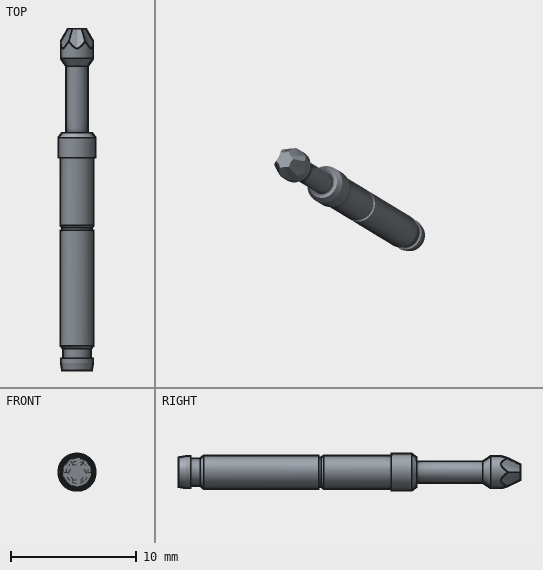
import cadquery as cq
import math

total_length = 27.3

plug_tip_radius = 1.2
plug_radius = 1.3
plug_taper_length = 0.6
plug_length = 1.0
neck_radius = 1.12
neck_end = 1.75

barrel_radius = 1.35
barrel_taper_length = 0.25
groove_start = 11.2
groove_radius = 1.2
groove_floor_end = 11.4
groove_end = 11.6

collar_radius = 1.5
collar_start = 17.0
collar_end = 19.0
collar_bevel_length = 0.4
collar_bevel_depth = 0.3

shaft_radius = 0.88
head_radius = 1.3
head_cone_start = 24.3
head_start = 24.92

flute_count = 6
flute_length = 1.6
tip_valley_radius = 0.57
flute_side_angle = 8.0
flute_slope = math.atan2(head_radius - tip_valley_radius, flute_length)


def body_profile():
    """Half outline of the turned part: radius along X, length along Y."""
    return (
        cq.Workplane("XY")
        .moveTo(0, 0)
        .lineTo(plug_tip_radius, 0)
        .lineTo(plug_radius, plug_taper_length)
        .lineTo(plug_radius, plug_length)
        .lineTo(neck_radius, plug_length)
        .lineTo(neck_radius, neck_end)
        .lineTo(barrel_radius, neck_end + barrel_taper_length)
        .lineTo(barrel_radius, groove_start)
        .lineTo(groove_radius, groove_start)
        .lineTo(groove_radius, groove_floor_end)
        .lineTo(barrel_radius, groove_end)
        .lineTo(barrel_radius, collar_start)
        .lineTo(collar_radius, collar_start)
        .lineTo(collar_radius, collar_end - collar_bevel_length)
        .lineTo(collar_radius - collar_bevel_depth, collar_end)
        .lineTo(shaft_radius, collar_end)
        .lineTo(shaft_radius, head_cone_start)
        .lineTo(head_radius, head_start)
        .lineTo(head_radius, total_length)
        .lineTo(0, total_length)
        .close()
    )


def flute_cutter():
    """V-floored bar whose valley line runs down the top of the head towards the tip."""
    half_width = 2 * head_radius
    side_rise = half_width * math.tan(math.radians(flute_side_angle))
    bar_top = side_rise + head_radius
    valley_plane = cq.Plane(
        origin=(0, total_length - flute_length, head_radius),
        xDir=(-1, 0, 0),
        normal=(0, math.cos(flute_slope), -math.sin(flute_slope)),
    )
    return (
        cq.Workplane(valley_plane)
        .moveTo(0, 0)
        .lineTo(half_width, side_rise)
        .lineTo(half_width, bar_top)
        .lineTo(-half_width, bar_top)
        .lineTo(-half_width, side_rise)
        .close()
        .extrude(2 * flute_length, both=True)
    )


def cut_flutes(body):
    """Cut the flutes evenly around the Y axis, one of them facing +Z."""
    for index in range(flute_count):
        angle = index * 360 / flute_count
        body = body.cut(flute_cutter().rotate((0, 0, 0), (0, 1, 0), angle))
    return body


turned_body = body_profile().revolve(360, (0, 0, 0), (0, 1, 0))
result = cut_flutes(turned_body)